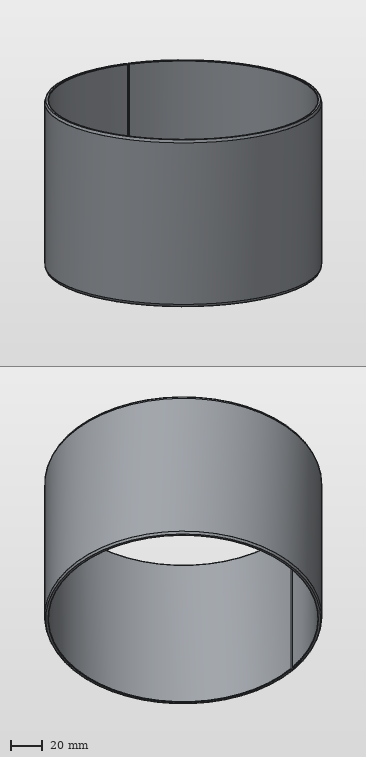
import cadquery as cq

outer_diameter = 175.0
height = 110.0
wall = 2.5
outer_chamfer_height = 1.8
outer_chamfer_depth = 0.7
inner_chamfer = 0.4
slit_angle = 1.0

outer_radius = outer_diameter / 2
inner_radius = outer_radius - wall
rim_outer_radius = outer_radius - outer_chamfer_depth
rim_inner_radius = inner_radius + inner_chamfer


def wall_section():
    """Wall cross-section on the -X side, standing on Z = 0, with all four rim edges chamfered."""
    points = [
        (-rim_inner_radius, 0),
        (-rim_outer_radius, 0),
        (-outer_radius, outer_chamfer_height),
        (-outer_radius, height - outer_chamfer_height),
        (-rim_outer_radius, height),
        (-rim_inner_radius, height),
        (-inner_radius, height - inner_chamfer),
        (-inner_radius, inner_chamfer),
    ]
    return cq.Workplane("XZ").polyline(points).close()


axis_start = (0, 0)
axis_end = (0, 1)
result = wall_section().revolve(360 - slit_angle, axis_start, axis_end)